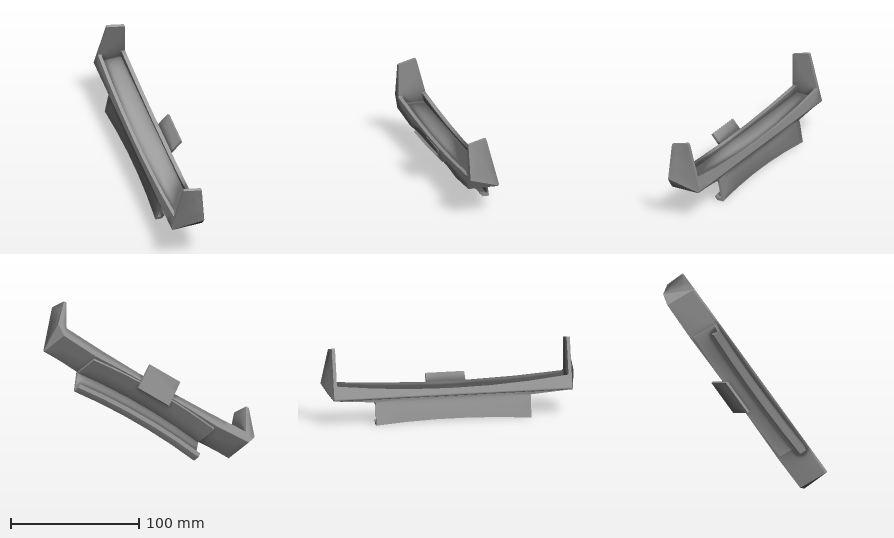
import cadquery as cq
import math

TRAY_LENGTH = 190.0
OVERALL_LENGTH = 202.0
LEAN = math.radians(15)
FRONT_DEPTH = 25.5
END_BACK_HEIGHT = 36.5
END_TOP_DEPTH = 14.5
FRONT_BOTTOM_RADIUS = 1.6
FRONT_TOP_RADIUS = 1.0
END_PLATE_THICKNESS = 2.6
WING_TIP_HEIGHT = 9.0

FRONT_RIM_HEIGHT = 11.7
FRONT_RIM_SAG = 5.5
REAR_RIM_HEIGHT = 9.7
REAR_RIM_SAG = 3.8
WALL = 3.0
FLOOR_HEIGHT = 3.6
END_PLATE_FILLET = 1.2

KEEL_DEPTH = 23.2
KEEL_DROP = 2.5

CLIP_LENGTH = 123.6
CLIP_BOW = 2.2
CLIP_THICKNESS = 1.8
CLIP_BACK = 2.8
CLIP_FRONT = 27.0
CLIP_BOTTOM = 20.2
CLIP_TOP_FRONT = 24.0
CLIP_FOOT_LENGTH = 5.5
CLIP_FOOT_THICKNESS = 2.2
HOOK_RUN = 2.0
HOOK_RISE = 2.6

TAB_WIDTH = 31.1
TAB_LENGTH = 20.8
TAB_THICKNESS = 2.0
TAB_ANGLE = 48.7
TAB_LOW_Y = -3.0
TAB_LOW_Z = -6.3
TAB_PAD_THICKNESS = 0.6
TAB_PAD_TOP = 4.2

HALF_TRAY = TRAY_LENGTH / 2
HALF_CAVITY = HALF_TRAY - END_PLATE_THICKNESS
HALF_CLIP = CLIP_LENGTH / 2
END_TOP_HEIGHT = END_BACK_HEIGHT + END_TOP_DEPTH * math.tan(LEAN)


def extrude_along_x(sketch, length):
    """Extrude a YZ outline by the given length, centred on X = 0."""
    return sketch.extrude(length / 2, both=True)


def flat_face(corners):
    """Plane polygon through the given corners."""
    return cq.Face.makeFromWires(cq.Wire.makePolygon(corners, close=True))


def solid_from_faces(faces):
    """Solid enclosed by a closed set of faces."""
    solid = cq.Solid.makeSolid(cq.Shell.makeShell(faces))
    return cq.Workplane(solid.fix())


def side_outline(length):
    """Prism with the rounded side outline of the end plates."""
    blank = extrude_along_x(
        cq.Workplane("YZ").polyline([
            (0, 0),
            (0, END_BACK_HEIGHT),
            (-END_TOP_DEPTH, END_TOP_HEIGHT),
            (-FRONT_DEPTH, 0),
        ]).close(),
        length,
    )
    blank = blank.edges("|X").edges("<Y").fillet(FRONT_BOTTOM_RADIUS)
    return blank.edges("|X").edges(">Z").fillet(FRONT_TOP_RADIUS)


def wing(side):
    """Twisted outer flare of one end plate; side is -1 or +1."""
    inner = side * HALF_TRAY
    tip = cq.Vector(side * OVERALL_LENGTH / 2, 0, WING_TIP_HEIGHT)
    back_bottom = cq.Vector(inner, 0, 0)
    back_top = cq.Vector(inner, 0, END_BACK_HEIGHT)
    front_top = cq.Vector(inner, -END_TOP_DEPTH, END_TOP_HEIGHT)
    front_bottom = cq.Vector(inner, -FRONT_DEPTH, 0)

    outer = cq.Face.makeRuledSurface(
        cq.Edge.makeLine(tip, back_top),
        cq.Edge.makeLine(front_bottom, front_top),
    )
    faces = [
        outer,
        flat_face([back_bottom, back_top, front_top, front_bottom]),
        flat_face([back_bottom, tip, back_top]),
        flat_face([back_bottom, front_bottom, tip]),
    ]
    return solid_from_faces(faces)


def space_above_rim(plane, end_height, sag):
    """Cutter for one wall: the gap between the end plates above a sagging rim."""
    top = END_TOP_HEIGHT + FRONT_DEPTH
    return (
        cq.Workplane(plane)
        .moveTo(-HALF_CAVITY, top)
        .lineTo(-HALF_CAVITY, end_height)
        .threePointArc((0, end_height - sag), (HALF_CAVITY, end_height))
        .lineTo(HALF_CAVITY, top)
        .close()
        .extrude(-WALL)
    )


def make_tray():
    body = side_outline(TRAY_LENGTH)

    def cavity_front(height):
        return -FRONT_DEPTH + WALL + height * math.tan(LEAN)

    cavity = extrude_along_x(
        cq.Workplane("YZ").polyline([
            (-WALL, FLOOR_HEIGHT),
            (-WALL, END_TOP_HEIGHT),
            (cavity_front(END_TOP_HEIGHT), END_TOP_HEIGHT),
            (cavity_front(FLOOR_HEIGHT), FLOOR_HEIGHT),
        ]).close(),
        2 * HALF_CAVITY,
    )
    body = body.cut(cavity)

    rear_face = cq.Plane(origin=(0, 0, 0), xDir=(-1, 0, 0), normal=(0, 1, 0))
    front_face = cq.Plane(
        origin=(0, -FRONT_DEPTH, 0),
        xDir=(1, 0, 0),
        normal=(0, -math.cos(LEAN), math.sin(LEAN)),
    )
    body = body.cut(space_above_rim(rear_face, REAR_RIM_HEIGHT, REAR_RIM_SAG))
    body = body.cut(space_above_rim(
        front_face,
        FRONT_RIM_HEIGHT / math.cos(LEAN),
        FRONT_RIM_SAG / math.cos(LEAN),
    ))

    margin = END_PLATE_FILLET / 6
    for side in (-1, 1):
        corners = cq.selectors.BoxSelector(
            (side * HALF_CAVITY - margin, -FRONT_DEPTH, FLOOR_HEIGHT - margin),
            (side * HALF_CAVITY + margin, 0, FRONT_RIM_HEIGHT + margin),
        )
        body = body.edges(corners).fillet(END_PLATE_FILLET)

    keel = (
        cq.Workplane("XZ")
        .moveTo(-HALF_TRAY, 0)
        .lineTo(-HALF_CLIP, -KEEL_DROP)
        .threePointArc((0, CLIP_BOW - KEEL_DROP), (HALF_CLIP, -KEEL_DROP))
        .lineTo(HALF_TRAY, 0)
        .close()
        .extrude(KEEL_DEPTH)
    )
    body = body.union(keel)

    for side in (-1, 1):
        body = body.union(wing(side).intersect(side_outline(OVERALL_LENGTH)))
    return body


def make_clip():
    """Hooked section carried along a bowed path under the tray."""
    top = -KEEL_DROP
    foot_back = -CLIP_FRONT + CLIP_FOOT_LENGTH
    foot_top = -CLIP_BOTTOM + CLIP_FOOT_THICKNESS
    inner_top = top - CLIP_THICKNESS
    lip = CLIP_THICKNESS / math.sqrt(2)
    section = [
        (-CLIP_BACK, top),
        (-CLIP_TOP_FRONT, top),
        (-CLIP_FRONT, -CLIP_BOTTOM),
        (foot_back, -CLIP_BOTTOM),
        (foot_back + HOOK_RUN, -CLIP_BOTTOM + HOOK_RISE),
        (foot_back + HOOK_RUN - lip, -CLIP_BOTTOM + HOOK_RISE + lip),
        (foot_back - lip / 2, foot_top),
        (-CLIP_FRONT + CLIP_THICKNESS, foot_top),
        (-CLIP_TOP_FRONT + CLIP_THICKNESS, inner_top),
        (-CLIP_BACK, inner_top),
    ]

    def bowed_edge(y, z):
        return cq.Edge.makeThreePointArc(
            cq.Vector(-HALF_CLIP, y, z),
            cq.Vector(0, y + CLIP_BOW, z + CLIP_BOW),
            cq.Vector(HALF_CLIP, y, z),
        )

    edges = [bowed_edge(y, z) for y, z in section]
    faces = [
        cq.Face.makeRuledSurface(edges[i - 1], edges[i])
        for i in range(len(edges))
    ]
    for x in (-HALF_CLIP, HALF_CLIP):
        faces.append(flat_face([cq.Vector(x, y, z) for y, z in section]))
    return solid_from_faces(faces)


def make_tab():
    """Slanted rear tab with a thin pad against the tray back."""
    plate = (
        cq.Workplane("XY")
        .box(TAB_WIDTH, TAB_LENGTH, TAB_THICKNESS, centered=(True, False, False))
        .rotate((0, 0, 0), (1, 0, 0), TAB_ANGLE)
        .translate((0, TAB_LOW_Y, TAB_LOW_Z))
    )
    pad = (
        cq.Workplane("XY")
        .box(TAB_WIDTH, TAB_PAD_THICKNESS, TAB_PAD_TOP, centered=(True, False, False))
    )
    return plate.union(pad)


tab = make_tab()
clip = make_clip().cut(tab)
tray = make_tray().cut(tab).cut(clip)

result = cq.Compound.makeCompound([tray.val(), clip.val(), tab.val()])